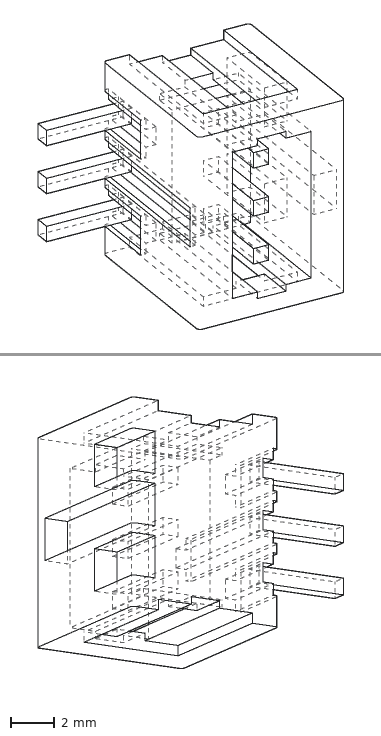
import cadquery as cq


overall_depth = 11.5
tail_length = 3.7
length = 8.9
depth = overall_depth - tail_length
height = 10.0
corner_radius = 0.2
mid_y = depth / 2

pin_size = 0.8
pin_pitch = 2.5
pin_heights = [-pin_pitch, 0, pin_pitch]
tail_inset = 0.4
pin_tip_inset = 1.0

panel_length = 6.9
panel_width = 5.01
panel_depth = 0.5
keyway_width = 1.51
keyway_depth = 0.85

cavity_back = 2.1
cavity_side_wall = 1.8
cavity_cover = 1.2
pedestal_length = 1.13
pedestal_cover = 1.54

groove_height = 2.02
groove_depth = 0.28
channel_height = 0.92
channel_depth = 0.82
notch_depth = 1.21
side_groove_length = 3.5
middle_groove_length = 8.11


def block(x_range, y_range, z_range):
    """Box spanning the given (low, high) range on each axis."""
    sizes = [high - low for low, high in (x_range, y_range, z_range)]
    corner = (x_range[0], y_range[0], z_range[0])
    return cq.Workplane("XY").box(*sizes, centered=False).translate(corner)


def around(middle, size):
    """Range of the given size centred on a middle value."""
    return (middle - size / 2, middle + size / 2)


def mating_cavity():
    """Cavity open on +X, with the pin pedestal left standing at its back."""
    side_walls = (cavity_side_wall, depth - cavity_side_wall)
    cavity = block((cavity_back, length), side_walls, around(0, height - 2 * cavity_cover))
    pedestal = block(
        (cavity_back, cavity_back + pedestal_length),
        side_walls,
        around(0, height - 2 * pedestal_cover),
    )
    return cavity.cut(pedestal)


def top_recess():
    """Shallow panel in the top face and the slot through it into the cavity."""
    panel = block(
        (0, panel_length),
        around(mid_y, panel_width),
        (height / 2 - panel_depth, height / 2),
    )
    back_slot = block(
        (0, panel_length),
        around(mid_y, keyway_width),
        (height / 2 - keyway_depth, height / 2),
    )
    keyway = block(
        (cavity_back, length),
        around(mid_y, keyway_width),
        (height / 2 - cavity_cover, height / 2 - keyway_depth),
    )
    return panel.union(back_slot).union(keyway)


def pin_grooves(pin_z, groove_length):
    """Stepped front groove and plain rear notch at one pin, both open on -X."""
    run = (0, groove_length)
    groove = block(run, (0, groove_depth), around(pin_z, groove_height))
    channel = block(run, (0, channel_depth), around(pin_z, channel_height))
    notch = block(run, (depth - notch_depth, depth), around(pin_z, groove_height))
    return groove.union(channel).union(notch)


def pin(pin_z):
    """L-shaped square pin: a tail along Y and a contact along X."""
    section = around(pin_z, pin_size)
    tail_x = (tail_inset, tail_inset + pin_size)
    contact_y = around(mid_y, pin_size)
    tail = block(tail_x, (-tail_length, contact_y[1]), section)
    contact = block((tail_inset, length - pin_tip_inset), contact_y, section)
    return tail.union(contact)


housing = block((0, length), (0, depth), around(0, height)).edges("|Z").fillet(corner_radius)
housing = housing.cut(mating_cavity())
housing = housing.cut(top_recess()).cut(top_recess().mirror("XY"))

for pin_z in pin_heights:
    groove_length = middle_groove_length if pin_z == 0 else side_groove_length
    housing = housing.cut(pin_grooves(pin_z, groove_length))

result = housing
for pin_z in pin_heights:
    result = result.union(pin(pin_z))